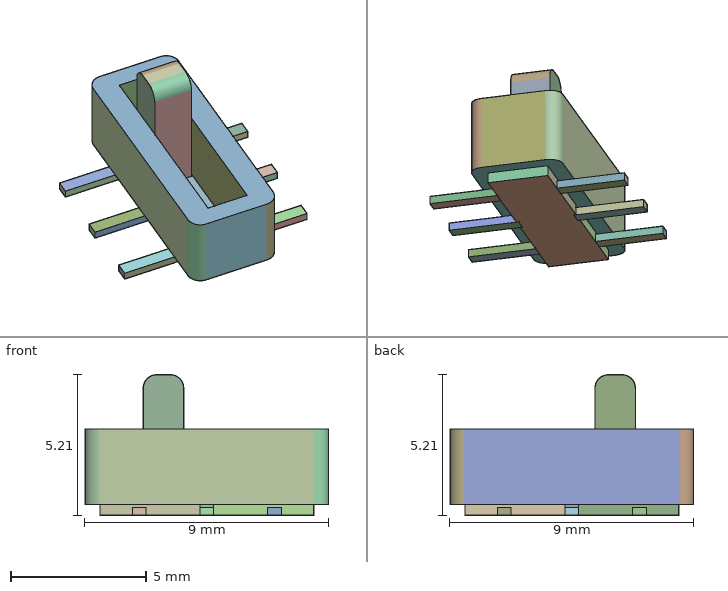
import cadquery as cq

base_height = 0.4
housing_height = 2.8
slider_rise = 2.01

housing_length = 9.0
housing_width = 3.5
corner_radius = 0.5
slot_length = 7.5
slot_width = 1.6

slider_length = 1.5
slider_gap = 0.045
slider_width = slot_width - 2 * slider_gap
slider_x = -1.6

pin_span = 7.5
pin_width = 0.5
pin_thickness = 0.3
pin_pitch = 2.5

base_length = 7.9
base_width = 2.3
notch_depth = 0.09

CENTERED_ON_FLOOR = (True, True, False)


def block(length, width, height):
    """Box centred in X and Y, standing on Z = 0."""
    return cq.Workplane("XY").box(length, width, height, centered=CENTERED_ON_FLOOR)


def make_base():
    plate = block(base_length, base_width, base_height)
    for side in (-1, 1):
        notch = block(pin_width, 2 * notch_depth, base_height)
        plate = plate.cut(notch.translate((0, side * base_width / 2, 0)))
    return plate


def make_housing():
    shell = block(housing_length, housing_width, housing_height)
    shell = shell.edges("|Z").fillet(corner_radius)
    slot = block(slot_length, slot_width, housing_height)
    return shell.cut(slot).translate((0, 0, base_height))


def make_slider():
    """Upright slider standing on the base, rounded at the top."""
    knob = block(slider_length, slider_width, housing_height + slider_rise)
    knob = knob.edges(">Z and |Y").fillet(corner_radius)
    return knob.translate((slider_x, 0, base_height))


def make_pin(column, side):
    """Flat pin from the base outwards; the middle one starts in the notch."""
    inset = notch_depth if column == 0 else 0
    inner_y = base_width / 2 - inset
    outer_y = pin_span / 2
    pin = block(pin_width, outer_y - inner_y, pin_thickness)
    return pin.translate((column * pin_pitch, side * (inner_y + outer_y) / 2, 0))


base = make_base()
housing = make_housing()
slider = make_slider()

pins = []
for column in (-1, 0, 1):
    for side in (-1, 1):
        pins.append(make_pin(column, side).val())

result = cq.Compound.makeCompound([base.val(), housing.val(), slider.val(), *pins])